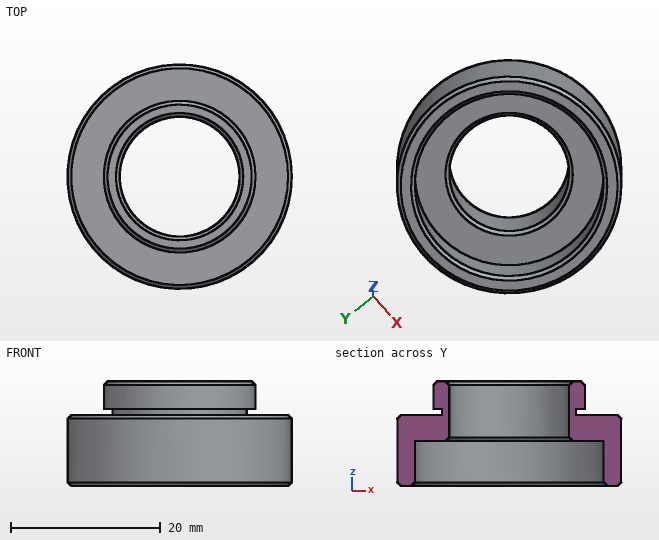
import cadquery as cq

outer_diameter = 30.0
total_height = 14.0
body_height = 9.5
collar_diameter = 20.28
collar_base_height = 10.3
neck_diameter = 18.0
bore_diameter = 16.0
edge_chamfer = 0.5
counterbore_diameter = 25.2
counterbore_depth = 6.0

outer_radius = outer_diameter / 2
collar_radius = collar_diameter / 2
neck_radius = neck_diameter / 2
bore_radius = bore_diameter / 2
counterbore_radius = counterbore_diameter / 2

half_section = [
    (counterbore_radius + edge_chamfer, 0),
    (outer_radius - edge_chamfer, 0),
    (outer_radius, edge_chamfer),
    (outer_radius, body_height - edge_chamfer),
    (outer_radius - edge_chamfer, body_height),
    (neck_radius, body_height),
    (neck_radius, collar_base_height),
    (collar_radius, collar_base_height),
    (collar_radius, total_height - edge_chamfer),
    (collar_radius - edge_chamfer, total_height),
    (bore_radius + edge_chamfer, total_height),
    (bore_radius, total_height - edge_chamfer),
    (bore_radius, counterbore_depth + edge_chamfer),
    (bore_radius + edge_chamfer, counterbore_depth),
    (counterbore_radius, counterbore_depth),
    (counterbore_radius, edge_chamfer),
]

result = cq.Workplane("XZ").polyline(half_section).close().revolve(360, (0, 0, 0), (0, 1, 0))